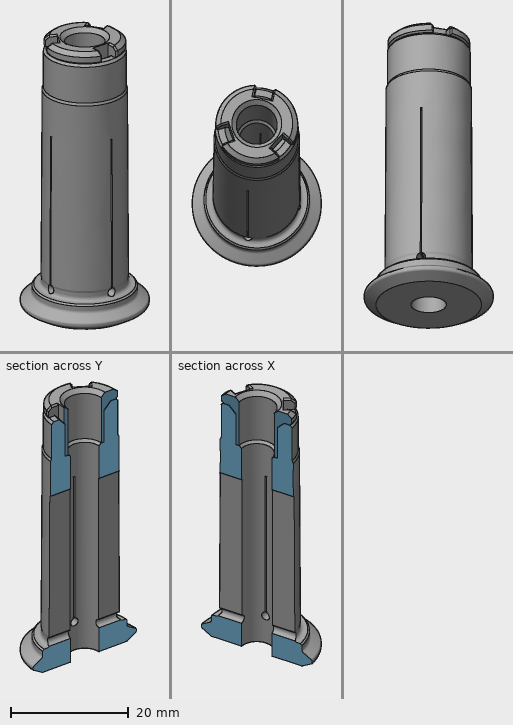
import cadquery as cq
import math

overall_height = 50.5
base_bottom_radius = 18.0 / 2
rim_radius = 22.0 / 2
rim_bevel_angle = 30.0
rim_round = 0.4
rim_height = 0.7
collar_radius = 18.0 / 2
collar_root_round = 0.5
collar_top_z = 4.55
collar_chamfer = 0.3
neck_radius = 7.35
neck_root_round = 0.7

shank_bottom_z = 5.95
shank_bottom_chamfer_height = 0.4
shank_bottom_radius = 7.45
shank_top_radius = 14.6 / 2
shoulder_z = 40.85
shoulder_height = 0.45
nose_radius = 7.05
nose_chamfer = 0.45
sleeve_top_z = 48.45

bore_radius = 6.0 / 2
bore_mouth_radius = 6.9 / 2
bore_mouth_height = 0.45
socket_bottom_z = shoulder_z
socket_radius = 8.2 / 2
seat_radius = 10.9 / 2
seat_bottom_z = sleeve_top_z - (seat_radius - socket_radius)

slit_count = 4
slit_width = 0.25
slit_top_z = 33.95
cross_hole_diameter = 1.5
cross_hole_z = 5.5

insert_bore_radius = bore_mouth_radius
insert_mouth_radius = 8.5 / 2
head_radius = 14.0 / 2
head_top_radius = 12.2 / 2
head_top_chamfer_height = 0.7
head_bottom_chamfer = 0.3
notch_count = 3
notch_width = 3.05
notch_wall_distance = 4.5
notch_chamfer = 0.3


def revolved(outline):
    """Turn a closed radius-height outline in the XZ plane about the Z axis."""
    return outline.close().revolve(360, (0, 0, 0), (0, 1, 0))


def round_ring(body, radius, height, size):
    """Round the one circular edge that has this radius and height."""
    def is_ring(edge):
        box = edge.BoundingBox()
        return math.isclose(box.zmax, height, abs_tol=0.005) and math.isclose(box.xmax, radius, abs_tol=0.005)

    rings = [edge for edge in body.edges("%CIRCLE").vals() if is_ring(edge)]
    return body.newObject(rings).fillet(size)


def sleeve_blank():
    bevel_slope = math.tan(math.radians(rim_bevel_angle))
    rim_bottom_z = (rim_radius - base_bottom_radius) * bevel_slope
    rim_top_z = rim_bottom_z + rim_height
    collar_bottom_z = rim_top_z + (rim_radius - collar_radius) * bevel_slope

    blank = revolved(
        cq.Workplane("XZ")
        .moveTo(0, 0)
        .lineTo(base_bottom_radius, 0)
        .lineTo(rim_radius, rim_bottom_z)
        .lineTo(rim_radius, rim_top_z)
        .lineTo(collar_radius, collar_bottom_z)
        .lineTo(collar_radius, collar_top_z - collar_chamfer)
        .lineTo(collar_radius - collar_chamfer, collar_top_z)
        .lineTo(neck_radius, collar_top_z)
        .lineTo(neck_radius, shank_bottom_z)
        .lineTo(shank_bottom_radius, shank_bottom_z + shank_bottom_chamfer_height)
        .lineTo(shank_top_radius, shoulder_z)
        .lineTo(nose_radius, shoulder_z + shoulder_height)
        .lineTo(nose_radius, sleeve_top_z - nose_chamfer)
        .lineTo(nose_radius - nose_chamfer, sleeve_top_z)
        .lineTo(0, sleeve_top_z)
    )
    blank = round_ring(blank, rim_radius, rim_bottom_z, rim_round)
    blank = round_ring(blank, rim_radius, rim_top_z, rim_round)
    blank = round_ring(blank, collar_radius, collar_bottom_z, collar_root_round)
    return round_ring(blank, neck_radius, collar_top_z, neck_root_round)


def sleeve_bore():
    """Through bore with a tapered mouth, below the cone-seated socket of the insert."""
    return revolved(
        cq.Workplane("XZ")
        .moveTo(0, 0)
        .lineTo(bore_radius, 0)
        .lineTo(bore_radius, socket_bottom_z - bore_mouth_height)
        .lineTo(bore_mouth_radius, socket_bottom_z)
        .lineTo(socket_radius, socket_bottom_z)
        .lineTo(socket_radius, seat_bottom_z)
        .lineTo(seat_radius, sleeve_top_z)
        .lineTo(0, sleeve_top_z)
    )


def slit_with_hole(angle):
    """Radial slit from the bore outward, with a round cross hole at its lower end."""
    reach = rim_radius
    slit_height = slit_top_z - cross_hole_z
    slit = (
        cq.Workplane("XY")
        .workplane(offset=cross_hole_z)
        .center(reach / 2, 0)
        .rect(reach, slit_width)
        .extrude(slit_height)
    )
    hole = (
        cq.Workplane("YZ")
        .center(0, cross_hole_z)
        .circle(cross_hole_diameter / 2)
        .extrude(reach)
    )
    return slit.union(hole).rotate((0, 0, 0), (0, 0, 1), angle)


def make_sleeve():
    sleeve = sleeve_blank().cut(sleeve_bore())
    for i in range(slit_count):
        sleeve = sleeve.cut(slit_with_hole(i * 360 / slit_count))
    return sleeve


def insert_blank():
    mouth_depth = insert_mouth_radius - insert_bore_radius
    return revolved(
        cq.Workplane("XZ")
        .moveTo(insert_bore_radius, socket_bottom_z)
        .lineTo(socket_radius, socket_bottom_z)
        .lineTo(socket_radius, seat_bottom_z)
        .lineTo(seat_radius, sleeve_top_z)
        .lineTo(head_radius - head_bottom_chamfer, sleeve_top_z)
        .lineTo(head_radius, sleeve_top_z + head_bottom_chamfer)
        .lineTo(head_radius, overall_height - head_top_chamfer_height)
        .lineTo(head_top_radius, overall_height)
        .lineTo(insert_mouth_radius, overall_height)
        .lineTo(insert_bore_radius, overall_height - mouth_depth)
    )


def head_notch(angle):
    """Notch through the head and its conical seat, open to the outside."""
    return (
        cq.Workplane("XY", origin=(notch_wall_distance + head_radius / 2, 0, seat_bottom_z))
        .rect(head_radius, notch_width)
        .extrude(overall_height - seat_bottom_z)
        .rotate((0, 0, 0), (0, 0, 1), angle)
    )


def notch_rim_edges(insert, angle):
    """The top, bevel and outer edges of both side walls of one notch."""
    turn = math.radians(angle)
    outward = cq.Vector(math.cos(turn), math.sin(turn), 0)
    sideways = cq.Vector(-math.sin(turn), math.cos(turn), 0)
    head_rim_bottom_z = sleeve_top_z + head_bottom_chamfer

    def on_side_wall(point):
        is_beside_notch = math.isclose(abs(point.dot(sideways)), notch_width / 2, abs_tol=0.0005)
        return is_beside_notch and point.dot(outward) > 0

    def on_rim(edge):
        reach = max(math.hypot(point.x, point.y) for point in (edge.startPoint(), edge.endPoint()))
        return edge.Center().z > head_rim_bottom_z and reach > head_top_radius - 0.0005

    return [
        edge
        for edge in insert.edges().vals()
        if on_side_wall(edge.startPoint()) and on_side_wall(edge.endPoint()) and on_rim(edge)
    ]


def make_insert():
    insert = insert_blank()
    angles = [i * 360 / notch_count for i in range(notch_count)]
    for angle in angles:
        insert = insert.cut(head_notch(angle))
    for angle in angles:
        insert = insert.newObject(notch_rim_edges(insert, angle)).chamfer(notch_chamfer)
    return insert


sleeve = make_sleeve()
threaded_insert = make_insert()

result = cq.Compound.makeCompound([*sleeve.solids().vals(), *threaded_insert.solids().vals()])